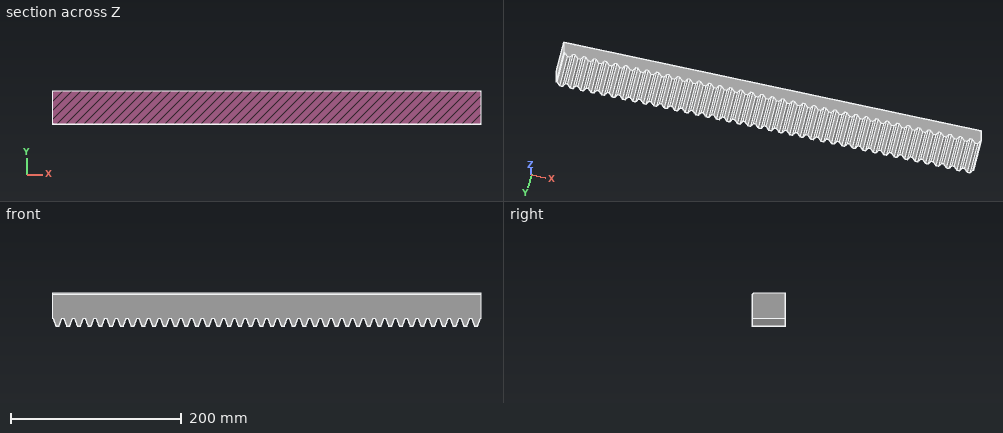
import cadquery as cq
import math

length = 502.0
width = 39.0
height = 39.0
tooth_count = 40
end_to_tooth_center = 6.0
tooth_depth = 9.0
pressure_angle = math.radians(20)
edge_chamfer = 2.0

pitch = (length - 2 * end_to_tooth_center) / (tooth_count - 1)
addendum = pitch / math.pi
dedendum = tooth_depth - addendum

pitch_line_half = pitch / 4
tip_half = pitch_line_half - addendum * math.tan(pressure_angle)
root_half = pitch_line_half + dedendum * math.tan(pressure_angle)

end_x = length / 2
front_y = -width / 2
top_z = height / 2
tip_z = -height / 2
root_z = tip_z + tooth_depth


def tooth_points(center_x):
    """Corners of one straight-sided tooth, from its left root to its right root."""
    return [
        (center_x - root_half, root_z),
        (center_x - tip_half, tip_z),
        (center_x + tip_half, tip_z),
        (center_x + root_half, root_z),
    ]


def rack_body():
    """Square bar with a full row of teeth along its underside."""
    first_center_x = -end_x + end_to_tooth_center
    outline = [(-end_x, top_z), (-end_x, root_z)]
    for index in range(tooth_count):
        outline += tooth_points(first_center_x + index * pitch)
    outline += [(end_x, root_z), (end_x, top_z)]
    profile = cq.Workplane("XZ", origin=(0, front_y, 0)).polyline(outline).close()
    return profile.extrude(-width)


result = rack_body().faces(">Z").edges("<Y").chamfer(edge_chamfer)